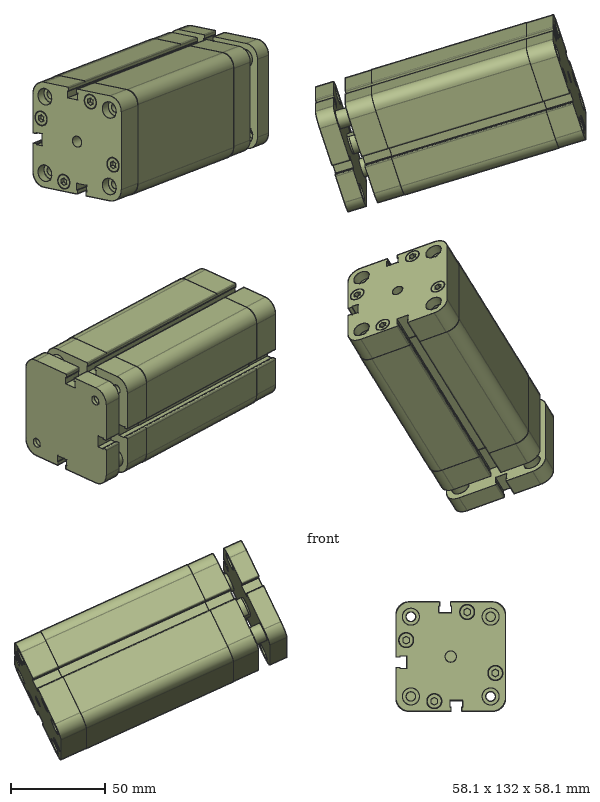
import cadquery as cq
import math

profile_width = 58.1
cover_width = 58.0
total_length = 132.0
cover_length = 14.8
plate_thickness = 10.0
gap = 6.5
body_length = total_length - plate_thickness - gap
plate_start = body_length + gap
profile_length = body_length - 2 * cover_length
half_width = profile_width / 2

cover_corner_radius = 7.5
profile_corner_radius = 7.0

slot_offset = 3.0
slot_neck_width = 5.5
slot_neck_depth = 2.3
slot_lip_radius = 0.5
slot_width = 6.6
cover_slot_depth = 6.0
profile_slot_depth = 5.6
slot_face_angles = (0, -90, 180)

mount_spacing = 42.2
mount_bore_diameter = 9.0
mount_bore_depth = 5.4
mount_hole_diameter = 5.0
plate_bore_diameter = 9.5
plate_bore_depth = 8.0

port_diameter = 6.0
port_depth = 10.0

screw_near = 8.7
screw_far = 23.6
screw_head_diameter = 7.5
screw_recess_diameter = 8.0
screw_recess_depth = 5.0
socket_across_flats = 3.5
socket_depth = 2.5

guide_rod_diameter = 10.0
guide_rod_spacing = 41.4
piston_rod_diameter = 12.0
rod_across_flats = 10.0
rod_flat_length = 4.5
rod_flat_runout = 0.8
rod_end_chamfer_length = 1.0
rod_end_chamfer_depth = 0.4


def plane_at(y):
    """Sketch plane across the Y axis; its local axes are X and Z and its normal is -Y."""
    return cq.Workplane("XZ", origin=(0, y, 0))


def cylinder(diameter, start, length, x=0, z=0):
    """Round bar along +Y."""
    return plane_at(start).center(x, z).circle(diameter / 2).extrude(-length)


def slot_cutter(start, length, top, depth):
    """T-slot cutter for a top face at height `top`, with a rounded lip on both sides."""
    neck_half = slot_neck_width / 2
    slot_half = slot_width / 2
    lip_half = neck_half + slot_lip_radius
    lip_bottom = top - slot_lip_radius
    neck_bottom = half_width - slot_neck_depth
    bottom = half_width - depth
    outline = (
        plane_at(start)
        .center(-slot_offset, 0)
        .moveTo(-lip_half, top)
        .radiusArc((-neck_half, lip_bottom), slot_lip_radius)
        .lineTo(-neck_half, neck_bottom)
        .lineTo(-slot_half, neck_bottom)
        .lineTo(-slot_half, bottom)
        .lineTo(slot_half, bottom)
        .lineTo(slot_half, neck_bottom)
        .lineTo(neck_half, neck_bottom)
        .lineTo(neck_half, lip_bottom)
        .radiusArc((lip_half, top), slot_lip_radius)
        .close()
    )
    return outline.extrude(-length)


def slotted_block(start, length, side, corner_radius, slot_depth):
    """Rounded square block with T-slots on its top, left and bottom faces."""
    block = plane_at(start).rect(side, side).extrude(-length)
    block = block.edges("|Y").fillet(corner_radius)
    cutter = slot_cutter(start, length, side / 2, slot_depth)
    for angle in slot_face_angles:
        block = block.cut(cutter.rotate((0, 0, 0), (0, 1, 0), angle))
    return block


def cover_block(start, length):
    return slotted_block(start, length, cover_width, cover_corner_radius, cover_slot_depth)


def make_body():
    front_cover = cover_block(0, cover_length)
    profile = slotted_block(
        cover_length, profile_length, profile_width, profile_corner_radius, profile_slot_depth
    )
    rear_cover = cover_block(cover_length + profile_length, cover_length)
    return front_cover.union(profile).union(rear_cover)


def make_piston_rod():
    """Rod with two spanner flats that run out in short slopes."""
    rod = cylinder(piston_rod_diameter, body_length, gap)
    rod = rod.faces(">Y").chamfer(rod_end_chamfer_length, rod_end_chamfer_depth)
    radius = piston_rod_diameter / 2
    flat = rod_across_flats / 2
    flat_end = plate_start - rod_flat_length
    outline = [
        (flat, plate_start),
        (flat, flat_end),
        (radius, flat_end - rod_flat_runout),
        (radius, plate_start),
    ]
    cutter = cq.Workplane("XY").polyline(outline).close().extrude(radius, both=True)
    return rod.cut(cutter).cut(cutter.mirror("YZ"))


def cut_mount_holes(part):
    """Counterbored corner holes; the two without a guide rod go through the end plate."""
    reach = mount_spacing / 2
    for x in (-reach, reach):
        for z in (-reach, reach):
            has_rod = x * z > 0
            hole_length = body_length - cover_length if has_rod else total_length
            part = part.cut(cylinder(mount_bore_diameter, 0, mount_bore_depth, x, z))
            part = part.cut(cylinder(mount_hole_diameter, 0, hole_length, x, z))
            if not has_rod:
                part = part.cut(cylinder(plate_bore_diameter, plate_start, plate_bore_depth, x, z))
    return part


def make_screw_recess():
    """Ring gap around a flush screw head, plus its hexagon socket."""
    ring = cylinder(screw_recess_diameter, 0, screw_recess_depth)
    ring = ring.cut(cylinder(screw_head_diameter, 0, screw_recess_depth))
    across_corners = socket_across_flats / math.cos(math.pi / 6)
    socket = plane_at(0).transformed(rotate=(0, 0, 90)).polygon(6, across_corners).extrude(-socket_depth)
    return ring.union(socket)


def cut_screws(part):
    recess = make_screw_recess()
    places = [
        (screw_near, screw_far),
        (screw_far, -screw_near),
        (-screw_near, -screw_far),
        (-screw_far, screw_near),
    ]
    for x, z in places:
        part = part.cut(recess.translate((x, 0, z)))
    return part


end_plate = cover_block(plate_start, plate_thickness)
body = make_body().union(end_plate).union(make_piston_rod())
for side in (-1, 1):
    rod_place = side * guide_rod_spacing / 2
    body = body.union(cylinder(guide_rod_diameter, body_length, gap, rod_place, rod_place))

body = cut_mount_holes(body)
body = body.cut(cylinder(port_diameter, 0, port_depth))
result = cut_screws(body)